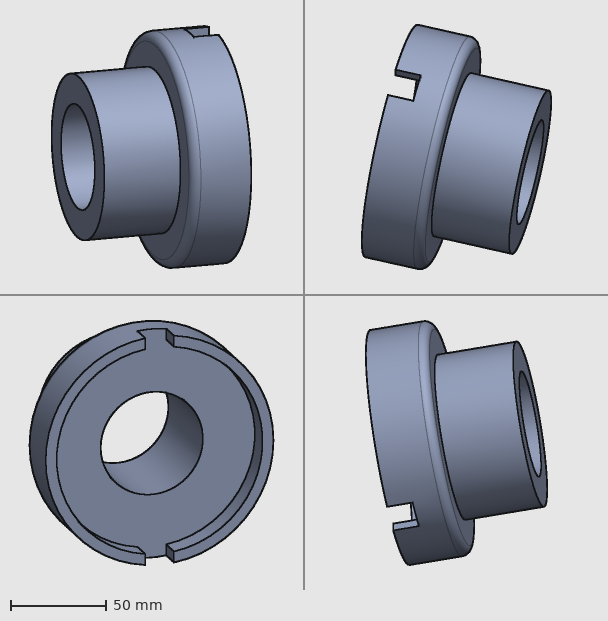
import cadquery as cq

flange_diameter = 125.0
total_length = 75.0
hub_diameter = 87.9
bore_diameter = 56.0
hub_length = 42.0
flange_length = total_length - hub_length
rim_fillet = 5.0

recess_diameter = 113.0
slot_width = 15.8
slot_depth = 13.8
recess_depth = slot_depth


def cylinder_along_y(diameter, start_y, length):
    """Solid cylinder on the Y axis, running from start_y toward +Y."""
    return (
        cq.Workplane("XZ", origin=(0, start_y, 0))
        .circle(diameter / 2)
        .extrude(-length)
    )


flange = cylinder_along_y(flange_diameter, hub_length, flange_length)
flange = flange.faces("<Y").edges().fillet(rim_fillet)

hub = cylinder_along_y(hub_diameter, 0, hub_length)

bore = cylinder_along_y(bore_diameter, 0, total_length)
recess = cylinder_along_y(recess_diameter, total_length - recess_depth, recess_depth)

slot = cq.Workplane("XY").box(slot_width, slot_depth, flange_diameter)
slot = slot.translate((0, total_length - slot_depth / 2, 0))

result = flange.union(hub).cut(bore).cut(recess).cut(slot)